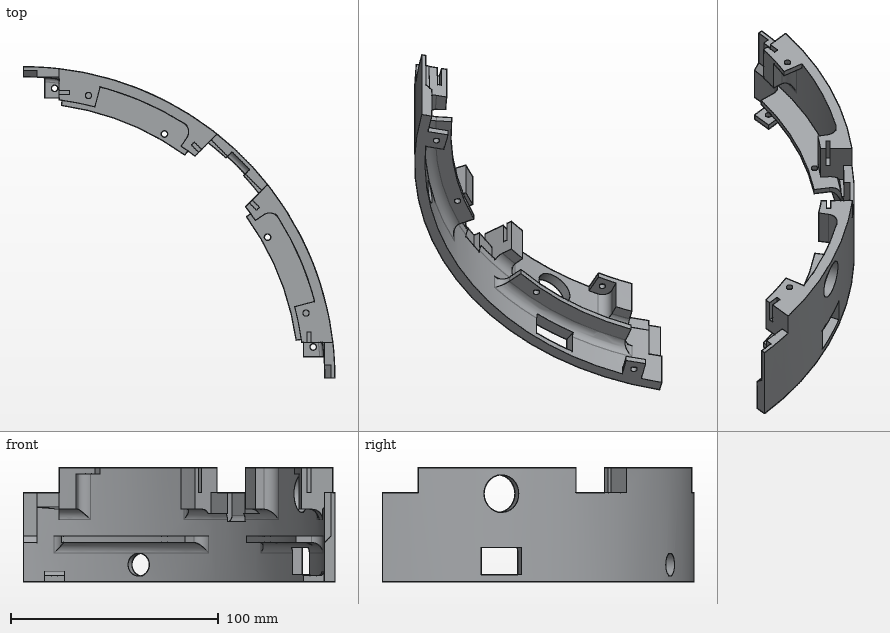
import cadquery as cq
import math

OUTER_R = 150.0
INNER_R = 145.0
FULL_HEIGHT = 55.0
LOW_HEIGHT = 43.0
HALF_SPAN = 45.0

BLOCK_INNER_R = 135.0
BLOCK_BOTTOM = 35.0
BLOCK_ANGLE = 10.8
BLOCK_OFFSET = 17.2
ROOT_FILLET = 5.0

SLOT_DEPTH = 5.0
SLOT_WIDTH = 2.0
SLOT_CENTRE = 137.5
SLOT_BOTTOM = 43.0

PLATE_THICKNESS = 3.0
PLATE_START = 9.0
PLATE_ANGLE = 14.75
PLATE_HOLE_R = 139.6
PLATE_HOLE_ANGLE = 12.95

SHELF_INNER_R = 132.5
SHELF_TOP = 22.0
SHELF_THICKNESS = 3.0
SHELF_START = 7.9
SHELF_END = 35.9
SHELF_HOLE_R = 135.7
SHELF_HOLE_ANGLE = 30.0

SCREW_HOLE_DIA = 3.0

TAB_START = 10.2
TAB_LENGTH = 9.6
TAB_INNER = 134.8
TAB_THICKNESS = 3.0
TAB_FILLET = 2.0
TAB_HOLE_X = TAB_START + TAB_LENGTH / 2
TAB_HOLE_Y = 139.5

LAP_FACE = 148.0
END_LAP_WIDTH = 6.4
END_LAP_BOTTOM = 22.0
GAP_LAP_HALF_WIDTH = 6.0
GAP_LAP_BOTTOM = 29.0
END_FLAT_BOTTOM = 36.0
GAP_FLOOR = 33.0

OPENING_ANGLE = HALF_SPAN / 2
ROUND_OPENING_DIA = 18.0
ROUND_OPENING_Z = 42.5
CABLE_OPENING_DIA = 11.0
CABLE_OPENING_Z = 8.3
WINDOW_WIDTH = 21.0
WINDOW_BOTTOM = 3.5
WINDOW_TOP = 16.5

WALL_MIDDLE_R = (INNER_R + OUTER_R) / 2
LAP_DEPTH = LAP_FACE - INNER_R
OVERCUT = 5.0


def polar(radius, angle):
    """Point at a radius and an angle measured from +Y towards +X."""
    turn = math.radians(angle)
    return (radius * math.sin(turn), radius * math.cos(turn))


def sector(inner, outer, start, end, bottom, top):
    """Ring segment between two radii, two angles and two heights."""
    middle = (start + end) / 2
    return (
        cq.Workplane("XY", origin=(0, 0, bottom))
        .moveTo(*polar(inner, start))
        .threePointArc(polar(inner, middle), polar(inner, end))
        .lineTo(*polar(outer, end))
        .threePointArc(polar(outer, middle), polar(outer, start))
        .close()
        .extrude(top - bottom)
    )


def box(x_min, x_max, y_min, y_max, z_min, z_max):
    size = (x_max - x_min, y_max - y_min, z_max - z_min)
    return cq.Workplane("XY").box(*size, centered=False).translate((x_min, y_min, z_min))


def profile(points, x_min, x_max):
    """Prism along X from a closed (y, z) polygon."""
    return (
        cq.Workplane("YZ", origin=(x_min, 0, 0))
        .polyline(points)
        .close()
        .extrude(x_max - x_min)
    )


def to_gap(body):
    """Turn a body from the wall end at +Y to the middle of the wall."""
    return body.rotate((0, 0, 0), (0, 0, 1), -HALF_SPAN)


def mirrored(body):
    """Reflect a body in the 45 degree plane."""
    return body.mirror("YZ").rotate((0, 0, 0), (0, 0, 1), -2 * HALF_SPAN)


def upright_hole(x, y, bottom, top):
    return (
        cq.Workplane("XY", origin=(x, y, bottom - OVERCUT))
        .circle(SCREW_HOLE_DIA / 2)
        .extrude(top - bottom + 2 * OVERCUT)
    )


def ring_with_under_fillet(inner, bottom, top, radius):
    """Ring that joins the wall, with a concave fillet between its underside and the wall."""
    return (
        cq.Workplane("XZ")
        .moveTo(inner, top)
        .lineTo(inner, bottom)
        .lineTo(INNER_R - radius, bottom)
        .radiusArc((INNER_R, bottom - radius), radius)
        .lineTo(WALL_MIDDLE_R, bottom - radius)
        .lineTo(WALL_MIDDLE_R, top)
        .close()
        .revolve(360, (0, 0, 0), (0, 1, 0))
    )


def sector_with_side_fillets(inner, start, end, bottom, top, radius):
    """Ring segment that joins the wall, with concave fillets between its radial sides and the wall."""
    centre_r = INNER_R - radius
    spread = math.degrees(math.asin(radius / centre_r))
    side_r = math.sqrt(centre_r**2 - radius**2)
    middle = (start + end) / 2
    return (
        cq.Workplane("XY", origin=(0, 0, bottom))
        .moveTo(*polar(inner, start))
        .threePointArc(polar(inner, middle), polar(inner, end))
        .lineTo(*polar(side_r, end))
        .radiusArc(polar(INNER_R, end + spread), radius)
        .lineTo(*polar(WALL_MIDDLE_R, end + spread))
        .threePointArc(polar(WALL_MIDDLE_R, middle), polar(WALL_MIDDLE_R, start - spread))
        .lineTo(*polar(INNER_R, start - spread))
        .radiusArc(polar(side_r, start), radius)
        .close()
        .extrude(top - bottom)
    )


def filleted_sector(inner, start, end, bottom, top):
    """Ring segment whose fillets at the wall meet in a mitre at the lower corners."""
    ring = ring_with_under_fillet(inner, bottom, top, ROOT_FILLET)
    return ring.intersect(
        sector_with_side_fillets(inner, start, end, bottom - ROOT_FILLET, top, ROOT_FILLET)
    )


def make_wall():
    return sector(INNER_R, OUTER_R, 0, 2 * HALF_SPAN, 0, FULL_HEIGHT)


def make_end_block():
    """Block next to the wall end, trimmed flat on its end face."""
    block = filleted_sector(BLOCK_INNER_R, -BLOCK_ANGLE, BLOCK_ANGLE, BLOCK_BOTTOM, FULL_HEIGHT)
    return block.intersect(box(BLOCK_OFFSET, OUTER_R, 0, OUTER_R, 0, FULL_HEIGHT))


def make_gap_block():
    """Block in the middle of the wall, still in one piece across the gap."""
    block = filleted_sector(BLOCK_INNER_R, -BLOCK_ANGLE, BLOCK_ANGLE, BLOCK_BOTTOM, FULL_HEIGHT)
    return to_gap(block)


def make_shelf():
    bottom = SHELF_TOP - SHELF_THICKNESS
    shelf = filleted_sector(SHELF_INNER_R, SHELF_START, SHELF_END, bottom, SHELF_TOP)
    x, y = polar(SHELF_HOLE_R, SHELF_HOLE_ANGLE)
    return shelf.cut(upright_hole(x, y, bottom, SHELF_TOP))


def make_top_plate():
    """Plate between the end block and the wall, covering the side fillet of the block."""
    bottom = FULL_HEIGHT - PLATE_THICKNESS
    return sector(BLOCK_INNER_R, WALL_MIDDLE_R, PLATE_START, PLATE_ANGLE, bottom, FULL_HEIGHT)


def make_tab():
    """Screw tab with a concave fillet between its top face and the wall."""
    body = box(TAB_START, TAB_START + TAB_LENGTH, TAB_INNER, WALL_MIDDLE_R, 0, TAB_THICKNESS + TAB_FILLET)
    ring = ring_with_under_fillet(TAB_INNER - OVERCUT, -TAB_THICKNESS, 0, TAB_FILLET).mirror("XY")
    return body.intersect(ring).cut(upright_hole(TAB_HOLE_X, TAB_HOLE_Y, 0, TAB_THICKNESS))


def cut_wall_ends(body):
    """Lower the wall ends and make them flat on the inside above a 45 degree ledge."""
    past_top = FULL_HEIGHT + OVERCUT
    past_outside = OUTER_R + OVERCUT
    low_wall = box(-OVERCUT, BLOCK_OFFSET, BLOCK_INNER_R, past_outside, LOW_HEIGHT, past_top)
    flat = profile(
        [
            (INNER_R, past_top),
            (INNER_R, END_FLAT_BOTTOM),
            (INNER_R - OVERCUT, END_FLAT_BOTTOM - OVERCUT),
            (INNER_R - OVERCUT, past_top),
        ],
        -OVERCUT,
        BLOCK_OFFSET,
    )
    lap = profile(
        [
            (LAP_FACE, past_top),
            (LAP_FACE, END_LAP_BOTTOM),
            (INNER_R - OVERCUT, END_LAP_BOTTOM - LAP_DEPTH - OVERCUT),
            (INNER_R - OVERCUT, past_top),
        ],
        -OVERCUT,
        END_LAP_WIDTH,
    )
    for cutter in (low_wall, flat, lap):
        body = body.cut(cutter).cut(mirrored(cutter))
    return body


def cut_gap(body):
    """Part the middle block, lower the wall and cut the round-bottomed lap recess."""
    past_top = FULL_HEIGHT + OVERCUT
    inside = BLOCK_INNER_R - OVERCUT
    past_outside = OUTER_R + OVERCUT
    low_wall = box(-BLOCK_OFFSET, BLOCK_OFFSET, inside, past_outside, LOW_HEIGHT, past_top)
    front = box(-BLOCK_OFFSET, BLOCK_OFFSET, inside, INNER_R, GAP_FLOOR, past_top)
    lap = box(-GAP_LAP_HALF_WIDTH, GAP_LAP_HALF_WIDTH, inside, LAP_FACE, GAP_LAP_BOTTOM, past_top)
    lap = lap.edges(">Y and <Z").fillet(LAP_DEPTH)
    for cutter in (low_wall, front, lap):
        body = body.cut(to_gap(cutter))
    return body


def cut_block_slots(body):
    """One slot in each of the four block end faces."""
    slot = box(
        BLOCK_OFFSET - OVERCUT,
        BLOCK_OFFSET + SLOT_DEPTH,
        SLOT_CENTRE - SLOT_WIDTH / 2,
        SLOT_CENTRE + SLOT_WIDTH / 2,
        SLOT_BOTTOM,
        FULL_HEIGHT + OVERCUT,
    )
    for cutter in (slot, to_gap(slot.mirror("YZ"))):
        body = body.cut(cutter).cut(mirrored(cutter))
    return body


def cut_plate_holes(body):
    x, y = polar(PLATE_HOLE_R, PLATE_HOLE_ANGLE)
    hole = upright_hole(x, y, FULL_HEIGHT - PLATE_THICKNESS, FULL_HEIGHT)
    return body.cut(hole).cut(mirrored(hole))


def through_wall(sketch, angle):
    """Turn a cutter drawn on the +Y side onto the given angle."""
    return sketch.extrude(-OUTER_R - OVERCUT).rotate((0, 0, 0), (0, 0, 1), -angle)


def cut_openings(body):
    cable = cq.Workplane("XZ").center(0, CABLE_OPENING_Z).circle(CABLE_OPENING_DIA / 2)
    round_opening = cq.Workplane("XZ").center(0, ROUND_OPENING_Z).circle(ROUND_OPENING_DIA / 2)
    window_height = WINDOW_TOP - WINDOW_BOTTOM
    window = cq.Workplane("XZ").center(0, WINDOW_BOTTOM + window_height / 2).rect(WINDOW_WIDTH, window_height)
    far_angle = 2 * HALF_SPAN - OPENING_ANGLE
    body = body.cut(through_wall(cable, OPENING_ANGLE))
    body = body.cut(through_wall(round_opening, far_angle))
    return body.cut(through_wall(window, far_angle))


result = make_wall()
for part in (make_end_block(), make_top_plate(), make_shelf(), make_tab()):
    result = result.union(part).union(mirrored(part))
result = result.union(make_gap_block())
result = cut_wall_ends(result)
result = cut_gap(result)
result = cut_block_slots(result)
result = cut_plate_holes(result)
result = cut_openings(result)